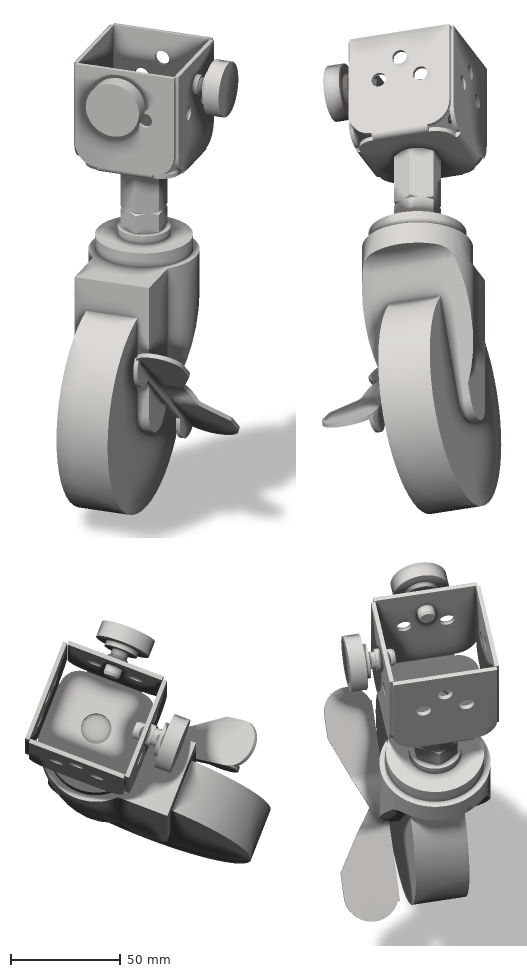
import cadquery as cq
import math


wheel_diameter = 100.0
wheel_width = 25.0
wheel_offset = 31.0
axle_z = wheel_diameter / 2
fork_leg_radius = 11.0
fork_width = 36.5
fork_head_diameter = 51.0
fork_head_bottom = 104.3
fork_top = 114.7
fork_back_angle = math.radians(58.7)
fork_back_fillet = 9.0

disc_diameter = 45.0
disc_top = 122.0
washer_diameter = 24.25
washer_top = 126.0
stem_diameter = 12.0

hex_flats = 19.0
hex_corners = hex_flats / math.cos(math.pi / 6)
hex_chamfer_angle = math.radians(30)
jam_nut_height = 10.0
coupling_height = 25.0
jam_nut_top = washer_top + jam_nut_height
coupling_top = jam_nut_top + coupling_height

socket_size = 51.0
sheet = 2.0
socket_bottom = coupling_top
socket_top = 213.29
bend_inner_radius = 0.5
bend_outer_radius = bend_inner_radius + sheet
bend_width = 27.0
front_wall_width = 48.4
side_wall_width = 46.4
base_hole_diameter = 14.0
hole_diameter = 6.9
hole_spacing = 20.0
hole_drop = 10.0

pin_diameter = 8.0
pin_tip_diameter = 6.65
pin_tip = 18.8
pin_chamfer_length = 1.3
flange_diameter = 10.0
flange_end = 28.0
collar_diameter = 16.0
collar_start = 31.3
knob_diameter = 26.0
knob_start = 33.7
knob_end = 41.3
knob_z = socket_top - knob_diameter / 2

pedal_inner = fork_width / 2
pedal_outer = 43.6
front_paddle_outer = 40.8
pedal_centre_y = -25.0
pedal_centre_z = 56.7
pedal_tilt = math.radians(40.8)
pedal_sheet = 2.0
pedal_half_length = 54.2
pedal_notch_x = 26.6
pedal_notch_s = -1.8
paddle_shoulder_front = 32.0
paddle_shoulder_back = -30.0
bump_half_length = 14.1
bump_angle = math.radians(36)
bump_foot_radius = 7.5
pedal_flange = 2.0
pedal_flange_depth = 4.0
lobe_radius = 10.0
lobe_distance = 36.7


def cylinder(diameter, bottom, top):
    """Upright cylinder on the swivel axis."""
    return cq.Workplane("XY").workplane(offset=bottom).circle(diameter / 2).extrude(top - bottom)


def fork():
    """Round swivel head narrowing into two flat-sided legs, drawn in the YZ plane."""
    head_radius = fork_head_diameter / 2
    front = -wheel_offset - fork_leg_radius
    plan = (
        cq.Workplane("XY").circle(head_radius).extrude(fork_top)
        .union(cq.Workplane("XY").box(fork_width, -front, fork_top, centered=(True, False, False))
               .translate((0, front, 0)))
    )

    tangent_y = -wheel_offset + fork_leg_radius * math.sin(fork_back_angle)
    tangent_z = axle_z - fork_leg_radius * math.cos(fork_back_angle)
    corner_y = tangent_y + (fork_head_bottom - tangent_z) / math.tan(fork_back_angle)
    setback = fork_back_fillet * math.tan(fork_back_angle / 2)
    fillet_start = (
        corner_y - setback * math.cos(fork_back_angle),
        fork_head_bottom - setback * math.sin(fork_back_angle),
    )
    fillet_middle = (
        corner_y + setback - fork_back_fillet * math.sin(fork_back_angle / 2),
        fork_head_bottom - fork_back_fillet * (1 - math.cos(fork_back_angle / 2)),
    )
    profile = (
        cq.Workplane("YZ").workplane(offset=-head_radius)
        .moveTo(front, fork_top)
        .lineTo(front, axle_z)
        .threePointArc((-wheel_offset, axle_z - fork_leg_radius), (tangent_y, tangent_z))
        .lineTo(*fillet_start)
        .threePointArc(fillet_middle, (corner_y + setback, fork_head_bottom))
        .lineTo(head_radius, fork_head_bottom)
        .lineTo(head_radius, fork_top)
        .close()
        .extrude(2 * head_radius)
    )
    return plan.intersect(profile)


def wheel():
    return (
        cq.Workplane("YZ").workplane(offset=-wheel_width / 2)
        .center(-wheel_offset, axle_z)
        .circle(wheel_diameter / 2)
        .extrude(wheel_width)
    )


def brake_pedal():
    """Pedal in tilted coordinates: s runs up the slope toward -Y, n is square to the sheet."""
    centre = (0, pedal_centre_y, pedal_centre_z)
    slope = (0, -math.cos(pedal_tilt), math.sin(pedal_tilt))
    square = (0, math.sin(pedal_tilt), math.cos(pedal_tilt))
    edge_plane = cq.Plane(origin=centre, xDir=slope, normal=(-1, 0, 0))
    face_plane = cq.Plane(origin=centre, xDir=slope, normal=square)

    half = pedal_sheet / 2
    foot_run = bump_foot_radius * math.sin(bump_angle)
    foot_rise = bump_foot_radius * (1 - math.cos(bump_angle))
    arch_half = bump_half_length - foot_run
    arch_radius = arch_half / math.sin(bump_angle)
    arch_top = foot_rise + arch_radius * (1 - math.cos(bump_angle))
    foot_middle_s = bump_half_length - bump_foot_radius * math.sin(bump_angle / 2)
    foot_middle_n = bump_foot_radius * (1 - math.cos(bump_angle / 2))
    middle_line = (
        cq.Workplane(edge_plane)
        .moveTo(-pedal_half_length, 0)
        .lineTo(-bump_half_length, 0)
        .threePointArc((-foot_middle_s, foot_middle_n), (-arch_half, foot_rise))
        .threePointArc((0, arch_top), (arch_half, foot_rise))
        .threePointArc((foot_middle_s, foot_middle_n), (bump_half_length, 0))
        .lineTo(pedal_half_length, 0)
    )
    sheet_edge = middle_line.offset2D(half).extrude(-pedal_outer)

    back_radius = (pedal_outer - pedal_inner) / 2
    front_radius = (front_paddle_outer - pedal_inner) / 2
    back_round_s = -pedal_half_length + back_radius
    front_round_s = pedal_half_length - front_radius
    outline = (
        cq.Workplane(face_plane).workplane(offset=-pedal_outer / 2)
        .moveTo(back_round_s, pedal_inner)
        .lineTo(front_round_s, pedal_inner)
        .threePointArc((pedal_half_length, pedal_inner + front_radius), (front_round_s, front_paddle_outer))
        .lineTo(paddle_shoulder_front, front_paddle_outer)
        .lineTo(pedal_notch_s, pedal_notch_x)
        .lineTo(paddle_shoulder_back, pedal_outer)
        .lineTo(back_round_s, pedal_outer)
        .threePointArc((-pedal_half_length, pedal_inner + back_radius), (back_round_s, pedal_inner))
        .close()
        .extrude(pedal_outer)
    )
    pedal = sheet_edge.intersect(outline)

    flange_plane = cq.Workplane(edge_plane).workplane(offset=-pedal_inner)
    strip = (
        flange_plane.center(0, -pedal_flange_depth / 2)
        .rect(2 * lobe_distance, pedal_flange_depth)
        .extrude(-pedal_flange)
    )
    pedal = pedal.union(strip)
    for lobe_s in (-lobe_distance, lobe_distance):
        lobe = (
            flange_plane
            .moveTo(lobe_s - lobe_radius, 0)
            .threePointArc((lobe_s, -lobe_radius), (lobe_s + lobe_radius, 0))
            .close()
            .extrude(-pedal_flange)
        )
        pedal = pedal.union(lobe)
    return pedal


def make_caster():
    body = fork().union(wheel()).union(brake_pedal())
    body = body.union(cylinder(disc_diameter, fork_top, disc_top))
    body = body.union(cylinder(washer_diameter, disc_top, washer_top))
    return body.union(cylinder(stem_diameter, washer_top, coupling_top))


def make_hex_nut(bottom, height):
    """Nut with flats facing +X and -X and corners trimmed by a cone at both ends."""
    prism = cq.Workplane("XY").polygon(6, hex_corners).extrude(height).rotate((0, 0, 0), (0, 0, 1), 30)
    trim = (hex_corners - hex_flats) / 2
    cone = (
        cq.Workplane("XY").circle(hex_corners / 2).extrude(height)
        .faces("<Z or >Z").chamfer(trim * math.tan(hex_chamfer_angle), trim)
    )
    bore = cylinder(stem_diameter, 0, height)
    return prism.intersect(cone).cut(bore).translate((0, 0, bottom))


def socket_wall(width):
    """Wall on the +X side with its bend, rounded at the two lower corners."""
    outer = socket_size / 2
    bend_z = socket_bottom + bend_outer_radius
    corner = (width - bend_width) / 2
    wall = (
        cq.Workplane("YZ").workplane(offset=outer - sheet)
        .center(0, (socket_top + bend_z) / 2)
        .rect(width, socket_top - bend_z)
        .extrude(sheet)
        .edges("|X and <Z").fillet(corner)
    )
    bend_x = outer - bend_outer_radius
    bend = (
        cq.Workplane("XZ").workplane(offset=-bend_width / 2)
        .center(bend_x, bend_z)
        .circle(bend_outer_radius).circle(bend_inner_radius).extrude(bend_width)
        .intersect(cq.Workplane("XY").box(bend_outer_radius, bend_width, bend_outer_radius,
                                          centered=(False, True, False))
                   .translate((bend_x, 0, socket_bottom)))
    )
    return wall.union(bend)


def wall_holes(centre_diameter):
    """Cutters through the +X wall: a centre hole and a lower pair."""
    inner = socket_size / 2 - sheet
    plane = cq.Workplane("YZ").workplane(offset=inner).center(0, knob_z)
    centre = plane.circle(centre_diameter / 2).extrude(sheet)
    pair = (
        plane.pushPoints([(-hole_spacing / 2, -hole_drop), (hole_spacing / 2, -hole_drop)])
        .circle(hole_diameter / 2).extrude(sheet)
    )
    return centre.union(pair)


def make_socket():
    base_size = socket_size - 2 * bend_outer_radius
    socket = (
        cq.Workplane("XY").workplane(offset=socket_bottom)
        .rect(base_size, base_size).extrude(sheet)
        .edges("|Z").fillet((base_size - bend_width) / 2)
    )
    walls = (
        (0, side_wall_width, pin_diameter),
        (90, front_wall_width, hole_diameter),
        (180, side_wall_width, hole_diameter),
        (270, front_wall_width, pin_diameter),
    )
    for turn, width, centre_diameter in walls:
        wall = socket_wall(width).cut(wall_holes(centre_diameter))
        socket = socket.union(wall.rotate((0, 0, 0), (0, 0, 1), turn))
    return socket.cut(cylinder(base_hole_diameter, socket_bottom, socket_bottom + sheet))


def make_plunger(turn):
    """Turned plunger pointing inward through the +X wall, then turned about Z."""
    pin_radius = pin_diameter / 2
    wall_outside = socket_size / 2
    half_profile = [
        (pin_tip, 0),
        (pin_tip, pin_tip_diameter / 2),
        (pin_tip + pin_chamfer_length, pin_radius),
        (wall_outside, pin_radius),
        (wall_outside, flange_diameter / 2),
        (flange_end, flange_diameter / 2),
        (flange_end, pin_radius),
        (collar_start, pin_radius),
        (collar_start, collar_diameter / 2),
        (knob_start, collar_diameter / 2),
        (knob_start, knob_diameter / 2),
        (knob_end, knob_diameter / 2),
        (knob_end, 0),
    ]
    plunger = cq.Workplane("XZ").polyline(half_profile).close().revolve(360, (0, 0, 0), (1, 0, 0))
    return plunger.translate((0, 0, knob_z)).rotate((0, 0, 0), (0, 0, 1), turn)


caster = make_caster()
jam_nut = make_hex_nut(washer_top, jam_nut_height)
coupling_nut = make_hex_nut(jam_nut_top, coupling_height)
socket = make_socket()
plungers = [make_plunger(turn) for turn in (0, -90)]

result = cq.Compound.makeCompound([
    caster.val(),
    jam_nut.val(),
    coupling_nut.val(),
    socket.val(),
    *[plunger.val() for plunger in plungers],
])